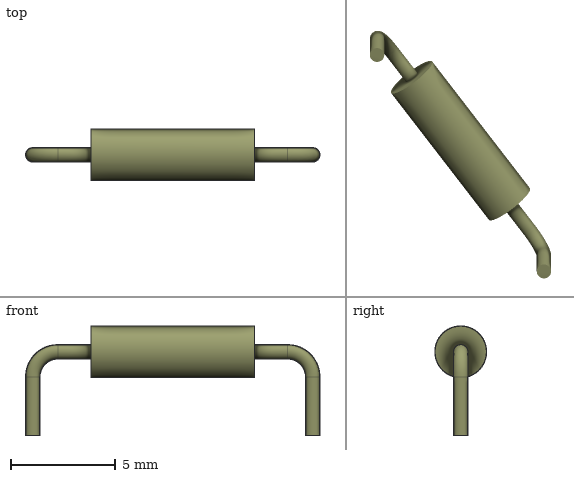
import cadquery as cq

overall_length = 14.15
body_diameter = 2.49
body_length = 7.88
lead_diameter = 0.7
bend_radius = 1.2
axis_height = 4.03

body_end_x = body_length / 2
leg_x = (overall_length - lead_diameter) / 2
bend_start_x = leg_x - bend_radius
bend_end_z = axis_height - bend_radius


def make_body():
    """Cylindrical component body lying along X."""
    return (
        cq.Workplane("YZ", origin=(-body_end_x, 0, axis_height))
        .circle(body_diameter / 2)
        .extrude(body_length)
    )


def make_lead(side):
    """Round wire from a body end face, bent down to its tip; side is -1 or +1 along X."""
    centre_line = (
        cq.Workplane("XZ")
        .moveTo(side * body_end_x, axis_height)
        .lineTo(side * bend_start_x, axis_height)
        .tangentArcPoint((side * leg_x, bend_end_z), relative=False)
        .lineTo(side * leg_x, 0)
    )
    return (
        cq.Workplane("YZ", origin=(side * body_end_x, 0, axis_height))
        .circle(lead_diameter / 2)
        .sweep(centre_line)
    )


body = make_body()
leads = [make_lead(side) for side in (-1, 1)]

result = cq.Compound.makeCompound([body.val(), *[lead.val() for lead in leads]])